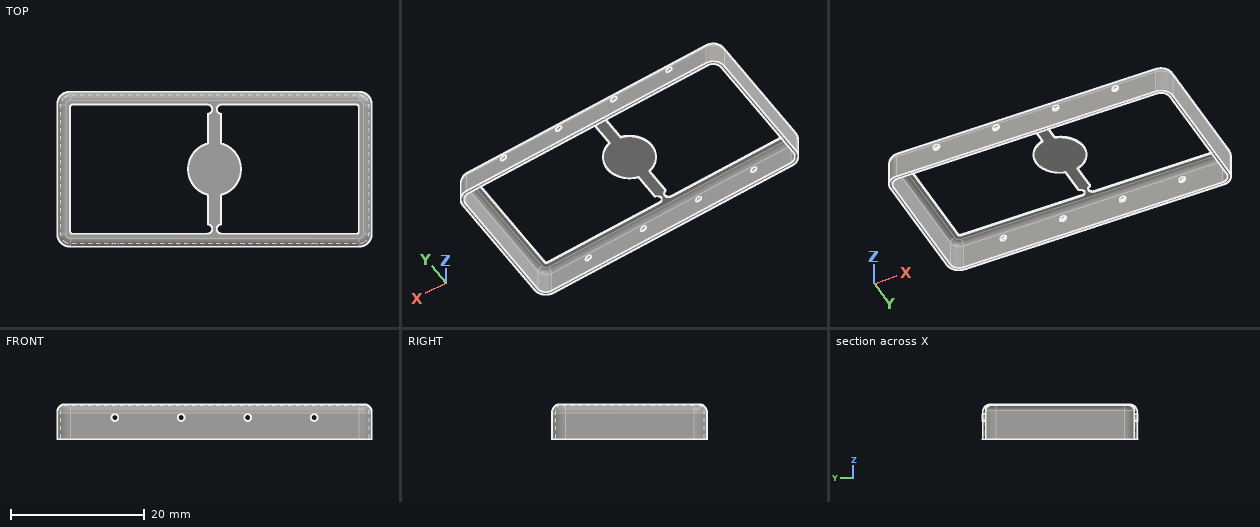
import cadquery as cq

length = 47.3
width = 23.3
height = 5.3
corner_radius = 2.0
top_fillet = 1.3

lip_width = 2.0
lip_thickness = 0.2
lip_corner_radius = 0.3
wall = 0.5
cavity_corner_radius = corner_radius - wall
cavity_top_fillet = top_fillet - wall

disc_diameter = 8.0
arm_width = 2.0
web_thickness = lip_thickness
arm_overlap = 0.35
notch_diameter = 1.35
neck_width = 0.7

hole_diameter = 1.0
hole_pitch = 10.0
hole_count = 4
hole_height = 3.25

opening_length = length - 2 * lip_width
opening_width = width - 2 * lip_width


def rounded_block(x_size, y_size, z_size, radius):
    """Block standing on Z = 0 with rounded vertical edges."""
    block = cq.Workplane("XY").box(x_size, y_size, z_size, centered=(True, True, False))
    return block.edges("|Z").fillet(radius)


def make_frame():
    outer = rounded_block(length, width, height, corner_radius).faces(">Z").edges().fillet(top_fillet)
    opening = rounded_block(opening_length, opening_width, height, lip_corner_radius)
    cavity = rounded_block(
        length - 2 * wall, width - 2 * wall, height - lip_thickness, cavity_corner_radius
    )
    cavity = cavity.faces(">Z").edges().fillet(cavity_top_fillet)
    return outer.cut(opening).cut(cavity)


def make_web():
    plane = cq.Workplane("XY").workplane(offset=height - web_thickness)
    arms = plane.rect(arm_width, opening_width + 2 * arm_overlap).extrude(web_thickness)
    disc = plane.circle(disc_diameter / 2).extrude(web_thickness)
    web = arms.union(disc)

    notch_x = (neck_width + notch_diameter) / 2
    notch_y = (opening_width - notch_diameter) / 2
    notches = (
        plane.rect(2 * notch_x, 2 * notch_y, forConstruction=True)
        .vertices()
        .circle(notch_diameter / 2)
        .extrude(web_thickness)
    )
    return web.cut(notches)


def make_cross_holes():
    return (
        cq.Workplane("XZ", origin=(0, 0, hole_height))
        .rarray(hole_pitch, 0.45, hole_count, 1)
        .circle(hole_diameter / 2)
        .extrude(width, both=True)
    )


result = make_frame().union(make_web()).cut(make_cross_holes())